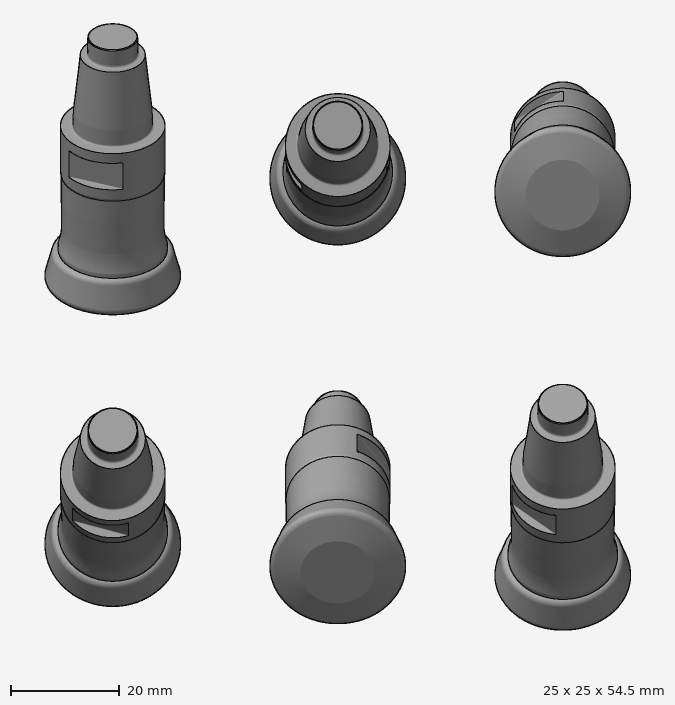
import cadquery as cq
import math

TOTAL_HEIGHT = 54.5
PIN_BASE_Z = 51.05
TAPER_TOP_Z = 50.6
TAPER_BASE_Z = 38.6
NECK_BASE_Z = 35.4
COLLAR_TOP_Z = 35.1
COLLAR_EDGE_Z = 25.05
SPLIT_Z = 24.65
GRIP_STEP_Z = 19.5
WAIST_TOP_Z = 15.1
WAIST_BASE_Z = 12.95
FLARE_BASE_Z = 8.95
KNOB_TOP_Z = 8.1
KNOB_CORNER_Z = 1.5

PIN_RADIUS = 9.2 / 2
PIN_FLARE_RADIUS = 5.05
TAPER_TOP_RADIUS = 6.0
TAPER_BASE_RADIUS = 7.25
NECK_RADIUS = 7.35
NECK_FLARE_RADIUS = 7.75
COLLAR_RADIUS = 19.3 / 2

GRIP_RADIUS = 19.0 / 2
WAIST_RADIUS = 18.9 / 2
FLARE_RADIUS = 10.1
KNOB_TOP_RADIUS = 11.05
KNOB_CORNER_RADIUS = 12.75
KNOB_BASE_RADIUS = 6.8

PIN_CHAMFER = 0.15
KNOB_TOP_FILLET = 1.2
KNOB_LOWER_FILLET = 1.1

FLAT_BOTTOM_Z = 27.2
FLAT_HEIGHT = 5.8
FLAT_DISTANCE = 8.0
FLAT_FILLET = 0.15


def revolve_profile(profile):
    """Revolve a closed radius-height profile about the Z axis."""
    return profile.revolve(360, (0, 0, 0), (0, 1, 0))


def make_spindle():
    """Pin, tapered neck and collar, with two wrench flats on the collar."""
    taper_slope = (TAPER_TOP_RADIUS - TAPER_BASE_RADIUS, TAPER_TOP_Z - TAPER_BASE_Z)
    profile = (
        cq.Workplane("XZ")
        .moveTo(0, SPLIT_Z)
        .lineTo(GRIP_RADIUS, SPLIT_Z)
        .lineTo(COLLAR_RADIUS, COLLAR_EDGE_Z)
        .lineTo(COLLAR_RADIUS, COLLAR_TOP_Z)
        .lineTo(NECK_FLARE_RADIUS, COLLAR_TOP_Z)
        .spline([(NECK_RADIUS, NECK_BASE_Z)], tangents=[(-1, 0), (0, 1)], includeCurrent=True)
        .spline([(TAPER_BASE_RADIUS, TAPER_BASE_Z)], tangents=[(0, 1), taper_slope], includeCurrent=True)
        .lineTo(TAPER_TOP_RADIUS, TAPER_TOP_Z)
        .lineTo(PIN_FLARE_RADIUS, TAPER_TOP_Z)
        .spline([(PIN_RADIUS, PIN_BASE_Z)], tangents=[(-1, 0), (0, 1)], includeCurrent=True)
        .lineTo(PIN_RADIUS, TOTAL_HEIGHT - PIN_CHAMFER)
        .lineTo(PIN_RADIUS - PIN_CHAMFER, TOTAL_HEIGHT)
        .lineTo(0, TOTAL_HEIGHT)
        .close()
    )
    spindle = revolve_profile(profile)
    for side in (-1, 1):
        spindle = spindle.cut(flat_cutter(side))
    return spindle


def flat_cutter(side):
    """Block that cuts one wrench flat on the given Y side of the collar."""
    inner_face = ">Y" if side < 0 else "<Y"
    return (
        cq.Workplane("XY")
        .box(2 * COLLAR_RADIUS, COLLAR_RADIUS, FLAT_HEIGHT, centered=(True, True, False))
        .faces(inner_face)
        .edges("|X")
        .fillet(FLAT_FILLET)
        .translate((0, side * (FLAT_DISTANCE + COLLAR_RADIUS / 2), FLAT_BOTTOM_Z))
    )


def flare_midpoint():
    """Middle point of the concave flare arc, which is tangent to the waist."""
    width = FLARE_RADIUS - WAIST_RADIUS
    height = WAIST_BASE_Z - FLARE_BASE_Z
    arc_radius = (width**2 + height**2) / (2 * width)
    half_angle = math.asin(height / arc_radius) / 2
    mid_radius = WAIST_RADIUS + arc_radius * (1 - math.cos(half_angle))
    return (mid_radius, WAIST_BASE_Z - arc_radius * math.sin(half_angle))


def round_rim(body, radius, height, fillet):
    """Round the circular edge of the given radius at the given height."""
    tolerance = 0.005
    rim = body.edges("%CIRCLE").filter(
        lambda edge: abs(edge.radius() - radius) < tolerance
        and abs(edge.Center().z - height) < tolerance
    )
    return rim.fillet(fillet)


def make_handle():
    """Grip with a slight waist, flaring out above a wide rounded knob."""
    profile = (
        cq.Workplane("XZ")
        .lineTo(KNOB_BASE_RADIUS, 0)
        .lineTo(KNOB_CORNER_RADIUS, KNOB_CORNER_Z)
        .lineTo(KNOB_TOP_RADIUS, KNOB_TOP_Z)
        .lineTo(FLARE_RADIUS, KNOB_TOP_Z)
        .lineTo(FLARE_RADIUS, FLARE_BASE_Z)
        .threePointArc(flare_midpoint(), (WAIST_RADIUS, WAIST_BASE_Z))
        .lineTo(WAIST_RADIUS, WAIST_TOP_Z)
        .lineTo(GRIP_RADIUS, GRIP_STEP_Z)
        .lineTo(GRIP_RADIUS, SPLIT_Z)
        .lineTo(0, SPLIT_Z)
        .close()
    )
    handle = revolve_profile(profile)
    handle = round_rim(handle, KNOB_TOP_RADIUS, KNOB_TOP_Z, KNOB_TOP_FILLET)
    return round_rim(handle, KNOB_CORNER_RADIUS, KNOB_CORNER_Z, KNOB_LOWER_FILLET)


spindle = make_spindle()
handle = make_handle()
result = cq.Compound.makeCompound([spindle.val(), handle.val()])